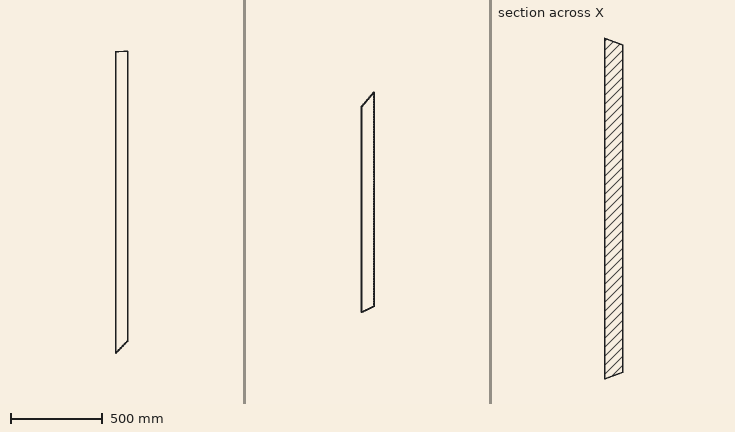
import cadquery as cq

length = 1855.0
width = 100.0
thickness = 5.0
end_setback = 37.0

half_length = length / 2
half_width = width / 2
half_short_edge = half_length - end_setback

outline = [
    (-half_width, -half_length),
    (half_width, -half_short_edge),
    (half_width, half_short_edge),
    (-half_width, half_length),
]

result = cq.Workplane("YZ").polyline(outline).close().extrude(thickness / 2, both=True)